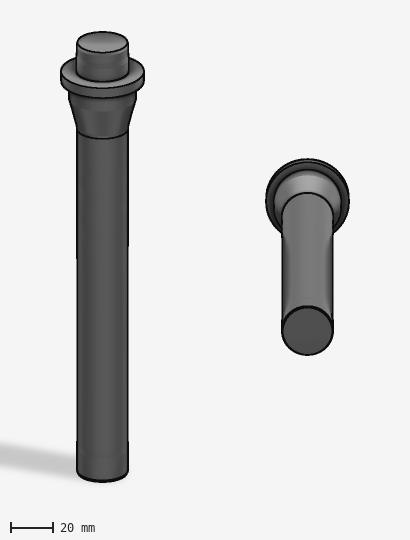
import cadquery as cq

total_height = 224.0
tip_chamfer_height = 1.5
tip_band_bottom = 218.5
tip_band_top_taper_end = 215.7
flange_top = 209.0
flange_bottom = 203.8
collar_cone_top = 195.0
collar_lip_top = 180.8
collar_bottom = 179.2
upper_taper_top = 173.8
upper_taper_bottom = 107.7
foot_taper_top = 16.0
foot_top = 12.5
foot_chamfer_height = 1.1

tip_diameter = 24.6
head_diameter = 25.0
neck_diameter = 24.5
shaft_diameter = 24.2
foot_diameter = 24.5
flange_diameter = 39.5
collar_diameter = 32.0
collar_lip_diameter = 24.6
end_chamfer_width = 0.5


def revolve_profile(points):
    """Revolve (diameter, height) corners, closed along the axis, about Z."""
    corners = [(diameter / 2, height) for diameter, height in points]
    corners = [(0, corners[0][1]), *corners, (0, corners[-1][1])]
    return cq.Workplane("XZ").polyline(corners).close().revolve(360, (0, 0), (0, 1))


def make_rod():
    """Tapered rod whose wider head rests on top of the collar."""
    return revolve_profile([
        (foot_diameter - 2 * end_chamfer_width, 0),
        (foot_diameter, foot_chamfer_height),
        (foot_diameter, foot_top),
        (shaft_diameter, foot_taper_top),
        (shaft_diameter, upper_taper_bottom),
        (neck_diameter, upper_taper_top),
        (neck_diameter, flange_top),
        (head_diameter, flange_top),
        (head_diameter, tip_band_top_taper_end),
        (tip_diameter, tip_band_bottom),
        (tip_diameter, total_height - tip_chamfer_height),
        (tip_diameter - 2 * end_chamfer_width, total_height),
    ])


def make_collar():
    """Flanged collar that narrows to a thin lip around the rod."""
    body = revolve_profile([
        (collar_lip_diameter, collar_bottom),
        (collar_lip_diameter, collar_lip_top),
        (collar_diameter, collar_cone_top),
        (collar_diameter, flange_bottom),
        (flange_diameter, flange_bottom),
        (flange_diameter, flange_top),
    ])
    bore = (
        cq.Workplane("XY", origin=(0, 0, collar_bottom))
        .circle(neck_diameter / 2)
        .extrude(flange_top - collar_bottom)
    )
    return body.cut(bore)


rod = make_rod()
collar = make_collar()
result = cq.Compound.makeCompound([rod.val(), collar.val()])